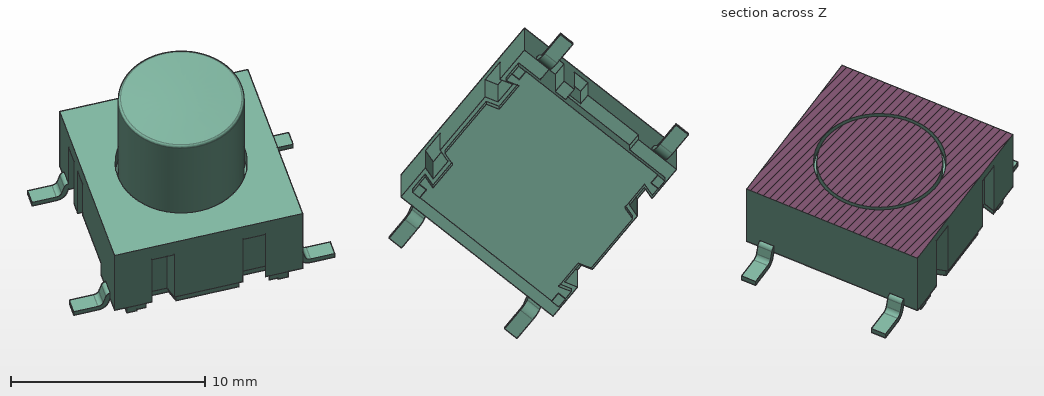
import cadquery as cq
import math

cover_top = 5.07
cover_base = 4.06
body_base = 0.67
skirt_base = 0.1
overall_height = 10.4

housing_side = 10.1
half_side = housing_side / 2

skirt_inset = 0.2
recess_depth = 0.71
foot_length = 0.48
foot_width = 0.55

groove_depth = 0.69
groove_inner = 1.83
groove_outer = 3.04
groove_slant = 0.21

recess_left = -3.42
recess_right = 2.5
rib_left = -2.42
rib_right = -1.74
panel_left = -0.84
panel_base = 1.58
shallow_depth = 0.59

plunger_diameter = 6.5
opening_diameter = 6.8
dome_rise = 0.21
edge_radius = 0.14

lead_span = 14.0
lead_width = 0.83
lead_inner_x = 3.42
lead_thickness = 0.3
lead_top = 1.15
lead_lean = math.radians(18)
lead_bend_y = 5.0
lead_root_y = 4.48


def block(x_range, y_range, z_range):
    """Axis-aligned box given by its limits."""
    size = [high - low for low, high in (x_range, y_range, z_range)]
    corner = (x_range[0], y_range[0], z_range[0])
    return cq.Workplane("XY").box(*size, centered=False).translate(corner)


def cut_on_four_corners(solid, tool):
    """Cut the tool and its mirror images about the X and Y mid-planes."""
    pair = tool.union(tool.mirror("XZ"))
    return solid.cut(pair).cut(pair.mirror("YZ"))


def make_groove(inset, base, top):
    """Slanted groove on the -X, +Y side, its walls and floor moved outward by inset."""
    slope = groove_slant / groove_depth
    widening = inset * math.hypot(1, slope)
    inner = groove_inner - widening
    outer = groove_outer + widening
    depth = groove_depth + inset
    shift = depth * slope
    return (
        cq.Workplane("XY", origin=(-half_side, 0, base))
        .polyline([(0, inner), (depth, inner + shift), (depth, outer + shift), (0, outer)])
        .close()
        .extrude(top - base)
    )


def make_body():
    """Block under the cover, with latch grooves and the stepped front recess."""
    outline = (-half_side, half_side)
    body = block(outline, outline, (body_base, cover_base))
    body = cut_on_four_corners(body, make_groove(0, body_base, cover_base))

    front = -half_side
    deep = (front, front + recess_depth)
    shallow = (front, front + shallow_depth)
    body = body.cut(block((recess_left, rib_left), deep, (body_base, cover_base)))
    body = body.cut(block((rib_right, panel_left), shallow, (panel_base, cover_base)))
    return body.cut(block((rib_right, recess_right), deep, (body_base, panel_base)))


def make_skirt():
    """Inset lower step of the housing, standing on four corner feet."""
    half_x = half_side - skirt_inset
    half_y = half_side - recess_depth
    skirt = block((-half_x, half_x), (-half_y, half_y), (skirt_base, body_base))
    skirt = cut_on_four_corners(skirt, make_groove(skirt_inset, skirt_base, body_base))

    foot_centers = [
        (side_x * (half_x - foot_length / 2), side_y * (half_y - foot_width / 2))
        for side_x in (-1, 1)
        for side_y in (-1, 1)
    ]
    feet = cq.Workplane("XY").pushPoints(foot_centers).rect(foot_length, foot_width).extrude(skirt_base)
    return skirt.union(feet)


def make_cover():
    """Square cover plate with a clearance opening around the plunger."""
    return (
        cq.Workplane("XY", origin=(0, 0, cover_base))
        .rect(housing_side, housing_side)
        .circle(opening_diameter / 2)
        .extrude(cover_top - cover_base)
    )


def make_plunger():
    """Round plunger with a shallow domed top and a rounded rim."""
    radius = plunger_diameter / 2
    rim_height = overall_height - dome_rise
    dome_radius = (radius ** 2 + dome_rise ** 2) / (2 * dome_rise)
    half_angle = math.asin(radius / dome_radius) / 2
    arc_middle = (
        dome_radius * math.sin(half_angle),
        overall_height - dome_radius * (1 - math.cos(half_angle)),
    )
    return (
        cq.Workplane("XZ")
        .moveTo(0, cover_base)
        .lineTo(radius, cover_base)
        .lineTo(radius, rim_height)
        .threePointArc(arc_middle, (0, overall_height))
        .close()
        .revolve(360, (0, 0, 0), (0, 1, 0))
        .edges(cq.selectors.BoxSelector(
            (-radius, -radius, rim_height - edge_radius),
            (radius, radius, rim_height + edge_radius),
        ))
        .fillet(edge_radius)
    )


def make_lead():
    """Gull-wing terminal on the +X, +Y side; both bends are tangent to the leaning leg."""
    bend_z = lead_top - lead_thickness
    foot_bend_z = 2 * lead_thickness
    foot_bend_y = lead_bend_y + (
        2 * lead_thickness + (bend_z - foot_bend_z) * math.sin(lead_lean)
    ) / math.cos(lead_lean)

    def upper(angle):
        y = lead_bend_y + lead_thickness * math.cos(angle)
        return (y, bend_z + lead_thickness * math.sin(angle))

    def lower(radius, angle):
        y = foot_bend_y - radius * math.cos(angle)
        return (y, foot_bend_z - radius * math.sin(angle))

    quarter = math.pi / 2
    middle = (lead_lean + quarter) / 2
    inside = lead_thickness
    outside = 2 * lead_thickness
    tip = lead_span / 2
    return (
        cq.Workplane("YZ", origin=(lead_inner_x, 0, 0))
        .moveTo(lead_root_y, lead_top)
        .lineTo(lead_bend_y, lead_top)
        .threePointArc(upper(middle), upper(lead_lean))
        .lineTo(*lower(inside, lead_lean))
        .threePointArc(lower(inside, middle), lower(inside, quarter))
        .lineTo(tip, lead_thickness)
        .lineTo(tip, 0)
        .lineTo(foot_bend_y, 0)
        .threePointArc(lower(outside, middle), lower(outside, lead_lean))
        .lineTo(lead_bend_y, bend_z)
        .lineTo(lead_root_y, bend_z)
        .close()
        .extrude(lead_width)
    )


def make_leads():
    """Four terminals, mirrored about both mid-planes."""
    lead = make_lead()
    pair = lead.union(lead.mirror("XZ"))
    return pair.union(pair.mirror("YZ"))


result = make_body()
for piece in (make_skirt(), make_cover(), make_plunger(), make_leads()):
    result = result.union(piece)